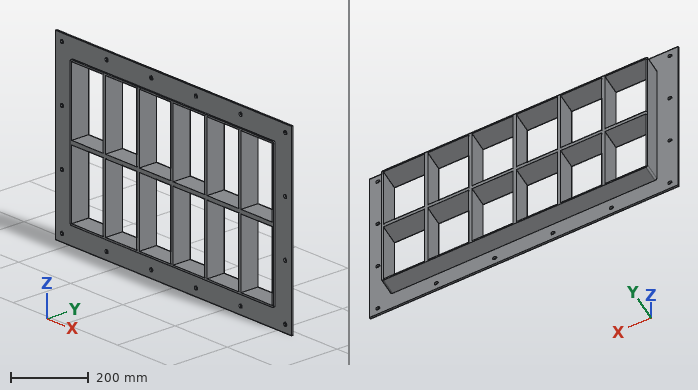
import cadquery as cq

flange_width = 905.0
flange_height = 580.0
flange_thickness = 5.0

sleeve_width = 780.0
sleeve_height = 460.0
sleeve_depth = 60.0
sleeve_wall = 5.0
sleeve_corner_radius = 5.0
sleeve_projection = 5.0

columns = 6
rows = 2
upright_thickness = 10.0
crossbar_thickness = 13.0

hole_diameter = 11.0
hole_margin = 24.0
holes_along_width = 6
holes_along_height = 4

opening_width = (sleeve_width - 2 * sleeve_wall - (columns - 1) * upright_thickness) / columns
opening_height = (sleeve_height - 2 * sleeve_wall - (rows - 1) * crossbar_thickness) / rows
hole_span_x = flange_width - 2 * hole_margin
hole_span_z = flange_height - 2 * hole_margin


def slab(width, height, front, depth):
    """Centred block in XZ that runs from y = front toward +Y."""
    return cq.Workplane("XY").box(width, depth, height).translate((0, front + depth / 2, 0))


def bolt_positions():
    """Evenly spaced (x, z) points along the four sides of the flange."""
    points = []
    for i in range(holes_along_width):
        for j in range(holes_along_height):
            if i in (0, holes_along_width - 1) or j in (0, holes_along_height - 1):
                x = (i / (holes_along_width - 1) - 0.5) * hole_span_x
                z = (j / (holes_along_height - 1) - 0.5) * hole_span_z
                points.append((x, z))
    return points


flange = slab(flange_width, flange_height, sleeve_projection, flange_thickness)
sleeve = slab(sleeve_width, sleeve_height, 0, sleeve_depth).edges("|Y").fillet(sleeve_corner_radius)

openings = (
    cq.Workplane("XZ")
    .rarray(opening_width + upright_thickness, opening_height + crossbar_thickness, columns, rows)
    .rect(opening_width, opening_height)
    .extrude(-sleeve_depth)
)

bolt_holes = (
    cq.Workplane("XZ")
    .pushPoints(bolt_positions())
    .circle(hole_diameter / 2)
    .extrude(-sleeve_depth)
)

result = flange.union(sleeve).cut(openings).cut(bolt_holes)